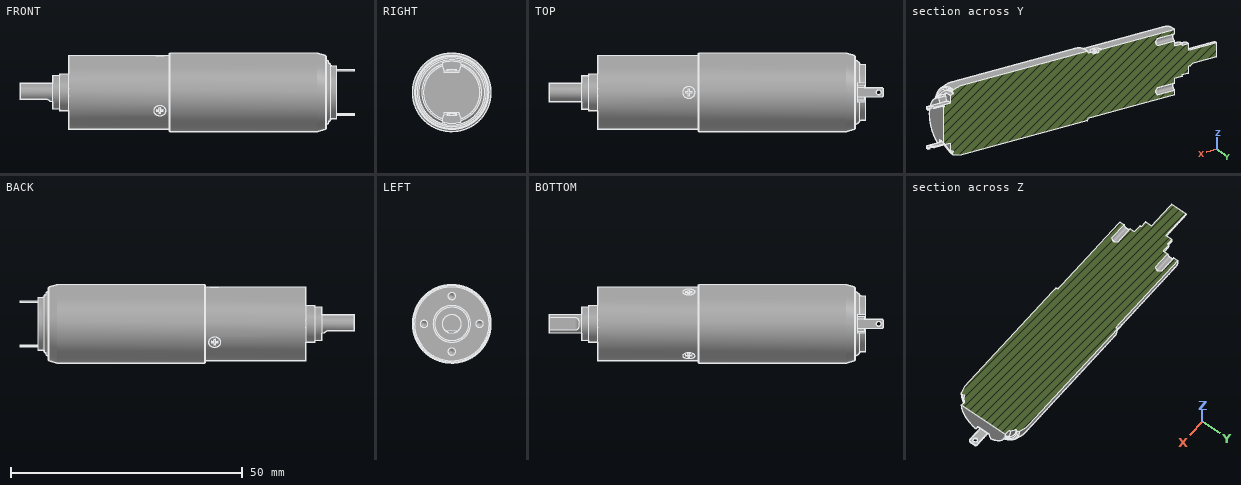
import cadquery as cq
import math


shaft_diameter = 4.05
flat_height = 1.5
flat_length = 5.6
flat_runout_radius = 1.0

bearing_start = 7.0
bearing_diameter = 7.3
boss_start = 8.5
boss_diameter = 8.0
gearbox_start = 10.45
gearbox_diameter = 16.0

hole_count = 4
hole_diameter = 1.6
hole_circle_radius = 6.0
hole_depth = 4.3
drill_tip_angle = 118

screw_count = 3
screw_position = 30.15
screw_head_diameter = 2.6
screw_seat_radius = 7.9
screw_head_thickness = 0.7
cross_length = 1.45
cross_width = 0.35
cross_depth = 0.5

can_start = 32.1
can_diameter = 17.0
can_front_chamfer = 0.2
can_taper_start = 64.1
can_end = 66.05
can_end_radius = 8.0
rim_chamfer = 0.2
rim_inner_radius = 7.4
rim_recess = 0.2
groove_radius = 7.1
dome_end = 66.9
dome_mid = 66.5
dome_mid_radius = 6.8

cap_diameter = 12.1
cap_fillet = 0.35
dome_end_radius = cap_diameter / 2 + cap_fillet
cap_end = 68.3
notch_outer_width = 4.05
notch_floor_width = 3.25
notch_floor_chamfer = 0.3
notch_floor = 4.6
notch_start = 66.55
notch_rim = math.sqrt((cap_diameter / 2) ** 2 - (notch_outer_width / 2) ** 2)
terminal_end = 72.1
terminal_width = 2.0
terminal_thickness = 0.35
terminal_height = 4.75
terminal_hole_diameter = 1.0
terminal_hole_inset = 1.0
terminal_corner = 0.2


def rod(start, end, diameter):
    """Cylinder on the X axis."""
    return cq.Workplane("YZ", origin=(start, 0, 0)).circle(diameter / 2).extrude(end - start)


def turned(shape, angle):
    """Shape turned about the motor axis."""
    return shape.rotate((0, 0, 0), (1, 0, 0), angle)


def revolved(outline):
    """Closed half-profile spun about the motor axis."""
    return outline.revolve(360, (0, 0, 0), (1, 0, 0))


def shaft():
    """Shaft with a D-flat on its underside, ending in a curved runout."""
    body = rod(0, gearbox_start, shaft_diameter)
    runout_end = flat_length + flat_runout_radius
    bend = flat_runout_radius * math.sqrt(0.5)
    cutter = (
        cq.Workplane("XZ")
        .moveTo(0, -flat_height)
        .lineTo(flat_length, -flat_height)
        .threePointArc(
            (flat_length + bend, -flat_height - flat_runout_radius + bend),
            (runout_end, -flat_height - flat_runout_radius),
        )
        .lineTo(0, -flat_height - flat_runout_radius)
        .close()
        .extrude(shaft_diameter / 2, both=True)
    )
    return body.cut(cutter)


def motor_can():
    can_radius = can_diameter / 2
    outline = (
        cq.Workplane("XY")
        .moveTo(can_start, 0)
        .lineTo(can_start, can_radius - can_front_chamfer)
        .lineTo(can_start + can_front_chamfer, can_radius)
        .lineTo(can_taper_start, can_radius)
        .lineTo(can_end - rim_chamfer, can_end_radius)
        .lineTo(can_end, can_end_radius - rim_chamfer)
        .lineTo(can_end, rim_inner_radius)
        .lineTo(can_end - rim_recess, groove_radius)
        .threePointArc((dome_mid, dome_mid_radius), (dome_end, dome_end_radius))
        .lineTo(dome_end, 0)
        .close()
    )
    return revolved(outline)


def mounting_holes():
    radius = hole_diameter / 2
    tip = radius / math.tan(math.radians(drill_tip_angle / 2))
    outline = (
        cq.Workplane("XY")
        .moveTo(gearbox_start, 0)
        .lineTo(gearbox_start, radius)
        .lineTo(gearbox_start + hole_depth, radius)
        .lineTo(gearbox_start + hole_depth + tip, 0)
        .close()
    )
    drill = revolved(outline).translate((0, 0, hole_circle_radius))
    drills = cq.Workplane("XY")
    for i in range(hole_count):
        drills = drills.add(turned(drill, i * 360 / hole_count))
    return drills.combine()


def add_screws(body):
    """Flat screw heads with cross recesses, the first one facing up."""
    seat = cq.Workplane("XY", origin=(screw_position, 0, screw_seat_radius))
    above = seat.circle(screw_head_diameter / 2).extrude(screw_head_thickness)
    head = seat.circle(screw_head_diameter / 2).extrude(-screw_head_thickness)
    cross = seat.rect(cross_length, cross_width).extrude(-cross_depth).union(
        seat.rect(cross_width, cross_length).extrude(-cross_depth)
    )
    for i in range(screw_count):
        angle = i * 360 / screw_count
        body = body.cut(turned(above, angle))
        body = body.union(turned(head, angle))
        body = body.cut(turned(cross, angle))
    return body


def add_terminal(body, angle):
    """Tapered notch in the cap with a flat solder strip on its floor."""
    notch = (
        cq.Workplane("YZ", origin=(notch_start, 0, 0))
        .moveTo(-notch_floor_width / 2, notch_floor)
        .lineTo(notch_floor_width / 2, notch_floor)
        .lineTo(notch_outer_width / 2, notch_rim)
        .lineTo(notch_outer_width / 2, can_diameter / 2)
        .lineTo(-notch_outer_width / 2, can_diameter / 2)
        .lineTo(-notch_outer_width / 2, notch_rim)
        .close()
        .extrude(cap_end - notch_start)
    )
    floor_bevel = (
        cq.Workplane("XZ")
        .moveTo(cap_end, notch_floor)
        .lineTo(cap_end - notch_floor_chamfer, notch_floor)
        .lineTo(cap_end, notch_floor - notch_floor_chamfer)
        .close()
        .extrude(notch_floor_width / 2, both=True)
    )
    notch = notch.union(floor_bevel)
    strip = (
        cq.Workplane("XY")
        .box(terminal_end - notch_start, terminal_width, terminal_thickness, centered=(False, True, True))
        .edges("|Z and >X").chamfer(terminal_corner)
        .translate((notch_start, 0, terminal_height))
    )
    hole = (
        cq.Workplane("XY", origin=(terminal_end - terminal_hole_inset, 0, terminal_height))
        .circle(terminal_hole_diameter / 2)
        .extrude(terminal_thickness, both=True)
    )
    strip = strip.cut(hole)
    return body.cut(turned(notch, angle)).union(turned(strip, angle))


def rear_cap():
    """Disc that flares in a concave fillet where it meets the dome."""
    cap_radius = cap_diameter / 2
    bend = cap_fillet * math.sqrt(0.5)
    outline = (
        cq.Workplane("XY")
        .moveTo(dome_end, 0)
        .lineTo(dome_end, dome_end_radius)
        .threePointArc(
            (dome_end + cap_fillet - bend, dome_end_radius - bend),
            (dome_end + cap_fillet, cap_radius),
        )
        .lineTo(cap_end, cap_radius)
        .lineTo(cap_end, 0)
        .close()
    )
    return revolved(outline)


gearbox = rod(gearbox_start, can_start, gearbox_diameter).cut(mounting_holes())
result = (
    shaft()
    .union(rod(bearing_start, gearbox_start, bearing_diameter))
    .union(rod(boss_start, gearbox_start, boss_diameter))
    .union(add_screws(gearbox))
    .union(motor_can())
    .union(rear_cap())
)
for terminal_angle in (0, 180):
    result = add_terminal(result, terminal_angle)